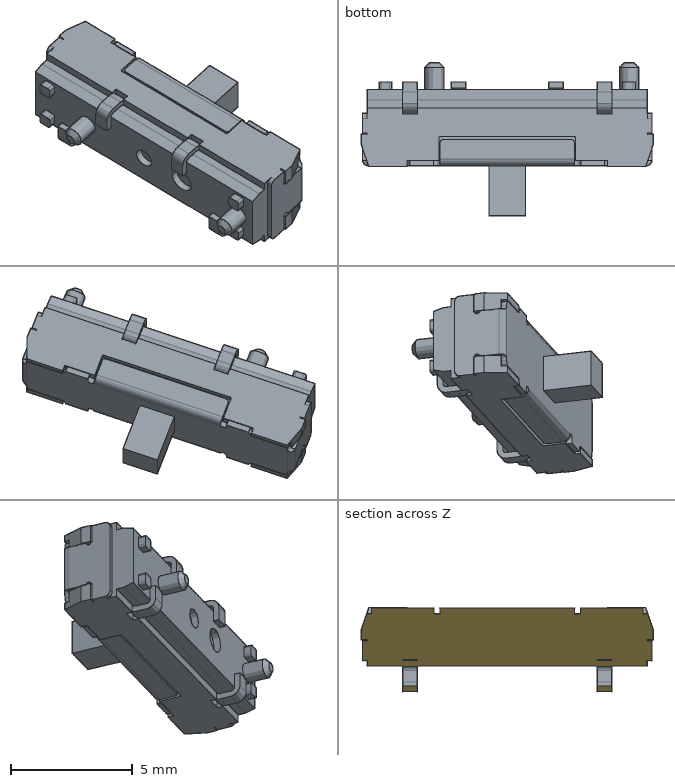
import cadquery as cq
import math


core_half_x = 5.76
half_z = 1.75
base_half_z = 1.4
base_face_half_z = 1.28
taper_y = 0.43
shelf_y = 0.75
core_back_y = 2.92

sheet_half_x = 5.95
sheet_back_y = 3.15
sheet_bend_radius = 0.25
flap_half_z = 1.0
flap_start_y = 0.97
flap_step_y = 1.8
flap_corner_radius = 0.23
relief_y = 1.95
relief_radius = 0.11

end_fillet_radius = 0.22
shoulder_z = 1.45
shoulder_round = shoulder_z - flap_half_z - end_fillet_radius
ledge_z = 1.7
ledge_outer_x = 4.0
ledge_fillet_radius = ledge_z - shoulder_z
notch_outer_x = 3.02
notch_bottom_z = 1.49

tongue_half_x = 2.76
tongue_end_y = 2.05
tongue_bend_radius = 0.29
tongue_corner_radius = 0.15
window_half_x = 2.81
window_end_y = 1.95
window_corner_radius = 0.05
window_depth = 0.25

ear_half_x = 6.0
ear_start_y = 1.84
ear_slant_y = 2.27
ear_back_y = 3.17
ear_back_half_x = 5.69
ear_inner_x = 4.12
ear_lip_z = shoulder_z

terminal_width = 0.6
terminal_thickness = 0.25
terminal_front_y = -0.31
terminal_end_z = 0.75
front_bend_radius = 0.41
root_bend_radius = 0.43
root_y = shelf_y + terminal_thickness
upper_terminal_x = 2.0
lower_terminal_x = 4.0

post_size = 0.53
post_height = 0.31
post_round = 0.1
post_x = 5.0
post_z = 0.89
pin_diameter = 0.8
pin_length = 1.1
pin_chamfer = 0.2
pin_places = (-3.0, 5.0)
small_hole_diameter = 0.8
large_hole_diameter = 1.0
large_hole_x = 2.0
hole_depth = 0.3

lever_side = 1.5
lever_back_y = 5.2

SIDES = (-1, 1)
DIAGONAL = math.sqrt(0.5)


def box(x0, x1, y0, y1, z0, z1):
    """Box between two opposite corners."""
    return cq.Workplane("XY").box(x1 - x0, y1 - y0, z1 - z0, centered=False).translate((x0, y0, z0))


def on_both_z(shape):
    """The shape together with its mirror image across Z = 0."""
    return shape.union(shape.mirror("XY"))


def on_both_x(shape):
    """The shape together with its mirror image across X = 0."""
    return shape.union(shape.mirror("YZ"))


def face_cylinder(x, diameter, y0, y1):
    """Cylinder along Y from y0 to y1, centred on Z = 0."""
    plane = cq.Plane(origin=(x, y0, 0), xDir=(1, 0, 0), normal=(0, 1, 0))
    return cq.Workplane(plane).circle(diameter / 2).extrude(y1 - y0)


def make_core():
    """Block with the tapered base, extruded along X."""
    half = [
        (0, base_face_half_z),
        (taper_y, base_half_z),
        (shelf_y, base_half_z),
        (shelf_y, half_z),
        (core_back_y, half_z),
    ]
    mirrored = [(y, -z) for y, z in reversed(half)]
    return cq.Workplane("YZ").polyline(half + mirrored).close().extrude(core_half_x, both=True)


def make_end_flaps():
    """Lower full-height flap plates and the narrower plates above them."""
    lower = box(-sheet_half_x, sheet_half_x, flap_start_y, flap_step_y, -half_z, half_z)
    lower = lower.edges("|X and <Y").fillet(flap_corner_radius)
    upper = box(-sheet_half_x, sheet_half_x, flap_step_y, core_back_y, -flap_half_z, flap_half_z)
    relief = (
        cq.Workplane("YZ")
        .pushPoints([(relief_y, side * flap_half_z) for side in SIDES])
        .circle(relief_radius)
        .extrude(sheet_half_x, both=True)
    )
    return lower.union(upper.cut(relief))


def make_back_panel():
    """Back panel with stepped ends and a round notch on each side of the tongues."""
    wall_x = sheet_half_x - sheet_bend_radius
    fillet_z = flap_half_z + end_fillet_radius
    ledge_arc_x = ledge_outer_x + ledge_fillet_radius
    notch_middle_x = (notch_outer_x + tongue_half_x) / 2
    notch_radius = (notch_outer_x - tongue_half_x) / 2
    plane = cq.Plane(origin=(0, core_back_y, 0), xDir=(1, 0, 0), normal=(0, -1, 0))
    quarter = (
        cq.Workplane(plane)
        .lineTo(sheet_half_x, 0)
        .lineTo(sheet_half_x, flap_half_z)
        .lineTo(wall_x + end_fillet_radius, flap_half_z)
        .threePointArc(
            (wall_x + end_fillet_radius * (1 - DIAGONAL), fillet_z - end_fillet_radius * DIAGONAL),
            (wall_x, fillet_z),
        )
        .threePointArc(
            (wall_x - shoulder_round * (1 - DIAGONAL), fillet_z + shoulder_round * DIAGONAL),
            (wall_x - shoulder_round, shoulder_z),
        )
        .lineTo(ledge_arc_x, shoulder_z)
        .threePointArc(
            (ledge_arc_x - ledge_fillet_radius * DIAGONAL, ledge_z - ledge_fillet_radius * DIAGONAL),
            (ledge_outer_x, ledge_z),
        )
        .lineTo(notch_outer_x, ledge_z)
        .lineTo(notch_outer_x, notch_bottom_z)
        .threePointArc((notch_middle_x, notch_bottom_z - notch_radius), (tongue_half_x, notch_bottom_z))
        .lineTo(tongue_half_x, ledge_z)
        .lineTo(0, ledge_z)
        .close()
        .extrude(core_back_y - sheet_back_y)
    )
    return on_both_x(on_both_z(quarter))


def make_sheet():
    """Back panel and end flaps joined by rounded bends."""
    outline = box(-sheet_half_x, sheet_half_x, 0, sheet_back_y, -half_z, half_z)
    outline = outline.edges("|Z and >Y").fillet(sheet_bend_radius)
    return make_back_panel().union(make_end_flaps()).intersect(outline)


def make_ears():
    """Four slanted corner ears with a lip reaching behind the core."""
    plan = [
        (ear_inner_x, ear_start_y),
        (ear_half_x, ear_start_y),
        (ear_half_x, ear_slant_y),
        (ear_back_half_x, ear_back_y),
        (ear_inner_x, ear_back_y),
    ]
    ear = (
        cq.Workplane("XY", origin=(0, 0, flap_half_z))
        .polyline(plan)
        .close()
        .extrude(half_z - flap_half_z)
    )
    rabbet = box(ear_inner_x, ear_half_x, core_back_y, ear_back_y, flap_half_z, ear_lip_z)
    return on_both_x(on_both_z(ear.cut(rabbet)))


def make_window_grooves():
    """Windows in the top and bottom faces, less the tongues lying slightly sunk in them."""
    bottom_z = half_z - window_depth
    window = box(-window_half_x, window_half_x, window_end_y, core_back_y, bottom_z, half_z)
    window = window.edges("|Z and <Y").fillet(window_corner_radius)
    tongue = box(-tongue_half_x, tongue_half_x, tongue_end_y, sheet_back_y, bottom_z, ledge_z)
    tongue = tongue.edges("|Z and <Y").fillet(tongue_corner_radius)
    return on_both_z(window.cut(tongue))


def make_tongue_bend_waste():
    """Material outside the rounded bends between the back panel and the tongues."""
    block = box(-tongue_half_x, tongue_half_x, 0, sheet_back_y, -ledge_z, ledge_z)
    return block.cut(block.edges("|X and >Y").fillet(tongue_bend_radius))


def make_terminal(x, side):
    """Strip bent out of the core, over the shelf and down in front of the mounting face."""
    front_y = terminal_front_y + front_bend_radius
    front_z = half_z - front_bend_radius
    bend_y = root_y - root_bend_radius
    root_z = half_z - root_bend_radius
    inner_front_radius = front_bend_radius - terminal_thickness
    inner_root_radius = root_bend_radius - terminal_thickness
    inner_z = half_z - terminal_thickness
    strip = (
        cq.Workplane("YZ", origin=(x, 0, 0))
        .moveTo(root_y, root_z)
        .threePointArc(
            (bend_y + root_bend_radius * DIAGONAL, root_z + root_bend_radius * DIAGONAL),
            (bend_y, half_z),
        )
        .lineTo(front_y, half_z)
        .threePointArc(
            (front_y - front_bend_radius * DIAGONAL, front_z + front_bend_radius * DIAGONAL),
            (terminal_front_y, front_z),
        )
        .lineTo(terminal_front_y, terminal_end_z)
        .lineTo(terminal_front_y + terminal_thickness, terminal_end_z)
        .lineTo(terminal_front_y + terminal_thickness, front_z)
        .threePointArc(
            (front_y - inner_front_radius * DIAGONAL, front_z + inner_front_radius * DIAGONAL),
            (front_y, inner_z),
        )
        .lineTo(bend_y, inner_z)
        .threePointArc(
            (bend_y + inner_root_radius * DIAGONAL, root_z + inner_root_radius * DIAGONAL),
            (shelf_y, root_z),
        )
        .close()
        .extrude(terminal_width / 2, both=True)
    )
    return strip if side > 0 else strip.mirror("XY")


def make_terminal_slot(x, side):
    """Opening in the core that the terminal rises through."""
    half_width = terminal_width / 2
    slot = box(x - half_width, x + half_width, shelf_y, root_y, half_z - root_bend_radius, half_z)
    return slot if side > 0 else slot.mirror("XY")


def make_post(x, z):
    """Square standoff post with rounded corners."""
    half = post_size / 2
    post = box(x - half, x + half, -post_height, 0, z - half, z + half)
    return post.edges("|Y").fillet(post_round)


def make_locating_pin(x):
    """Round locating pin with a chamfered tip."""
    return face_cylinder(x, pin_diameter, -pin_length, 0).faces("<Y").chamfer(pin_chamfer)


def make_housing():
    """Core, bent sheet, ears, terminals, posts and pins joined into one body."""
    housing = make_core().union(make_sheet()).union(make_ears()).cut(make_window_grooves())
    housing = housing.cut(make_tongue_bend_waste())
    for side, terminal_x in ((1, upper_terminal_x), (-1, lower_terminal_x)):
        for x in (-terminal_x, terminal_x):
            housing = housing.cut(make_terminal_slot(x, side)).union(make_terminal(x, side))
    for x_side in SIDES:
        for z_side in SIDES:
            housing = housing.union(make_post(x_side * post_x, z_side * post_z))
    for x in pin_places:
        housing = housing.union(make_locating_pin(x))
    housing = housing.cut(face_cylinder(0, small_hole_diameter, 0, hole_depth))
    return housing.cut(face_cylinder(large_hole_x, large_hole_diameter, 0, hole_depth))


def make_lever():
    """Square lever standing on the back panel."""
    half = lever_side / 2
    return box(-half, half, sheet_back_y, lever_back_y, -half, half)


housing = make_housing()
lever = make_lever()
result = cq.Compound.makeCompound([housing.val(), lever.val()])